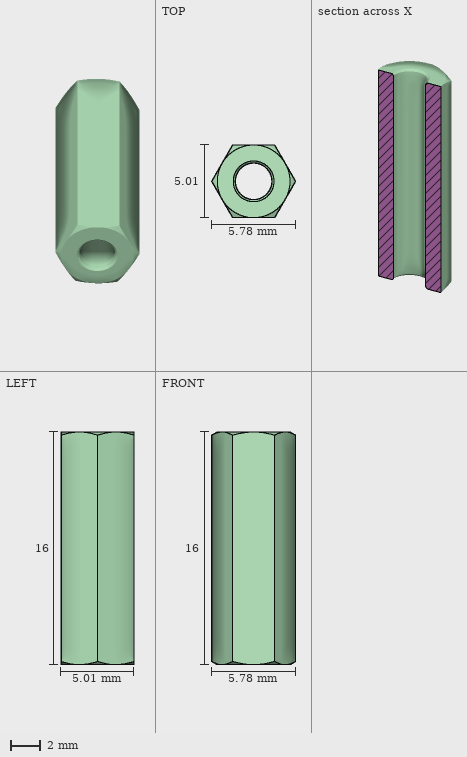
import cadquery as cq
import math

SIDES = 6
ACROSS_FLATS = 5.006
LENGTH = 16.0
BORE_DIAMETER = 2.5
BORE_MOUTH_DIAMETER = 2.8
END_FACE_DIAMETER = 5.0
END_CHAMFER_ANGLE = 30.0
BASE_Z = 0.0

across_corners = ACROSS_FLATS / math.cos(math.pi / SIDES)
top_z = BASE_Z + LENGTH
bore_chamfer = (BORE_MOUTH_DIAMETER - BORE_DIAMETER) / 2
corner_drop = (across_corners - END_FACE_DIAMETER) / 2 * math.tan(math.radians(END_CHAMFER_ANGLE))


def hex_bar():
    """Hexagonal prism with two corners on the X axis."""
    return cq.Workplane("XY").workplane(offset=BASE_Z).polygon(SIDES, across_corners).extrude(LENGTH)


def turned_envelope():
    """Cylinder over the corners with conical ends, which rounds off the hexagon's end corners."""
    corner_radius = across_corners / 2
    face_radius = END_FACE_DIAMETER / 2
    profile = [
        (0, BASE_Z),
        (face_radius, BASE_Z),
        (corner_radius, BASE_Z + corner_drop),
        (corner_radius, top_z - corner_drop),
        (face_radius, top_z),
        (0, top_z),
    ]
    return cq.Workplane("XZ").polyline(profile).close().revolve(360, (0, 0, 0), (0, 1, 0))


def chamfered_bore():
    """Through bore with a 45 degree chamfer at each mouth."""
    bore_radius = BORE_DIAMETER / 2
    mouth_radius = BORE_MOUTH_DIAMETER / 2
    profile = [
        (0, BASE_Z),
        (mouth_radius, BASE_Z),
        (bore_radius, BASE_Z + bore_chamfer),
        (bore_radius, top_z - bore_chamfer),
        (mouth_radius, top_z),
        (0, top_z),
    ]
    return cq.Workplane("XZ").polyline(profile).close().revolve(360, (0, 0, 0), (0, 1, 0))


result = hex_bar().intersect(turned_envelope()).cut(chamfered_bore())